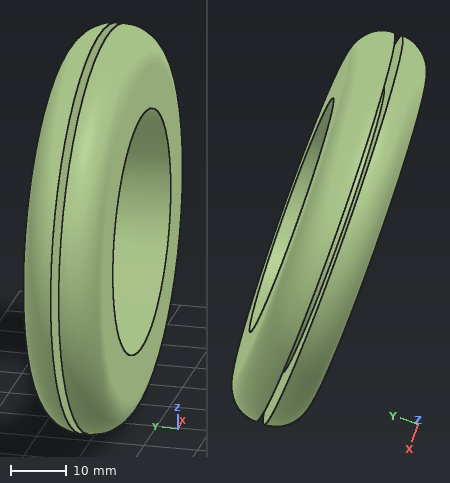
import cadquery as cq
import math

outer_radius = 37.5
bore_radius = 22.5
groove_floor_radius = 27.5
total_width = 14.5
groove_width = 1.5

half_width = total_width / 2
half_groove = groove_width / 2

round_radius = half_width - half_groove
face_radius = outer_radius - round_radius
arc_offset = round_radius * math.sqrt(0.5)
arc_mid_radius = face_radius + arc_offset
arc_mid_y = half_groove + arc_offset

section = (
    cq.Workplane("XY")
    .moveTo(bore_radius, -half_width)
    .lineTo(face_radius, -half_width)
    .threePointArc((arc_mid_radius, -arc_mid_y), (outer_radius, -half_groove))
    .lineTo(groove_floor_radius, -half_groove)
    .lineTo(groove_floor_radius, half_groove)
    .lineTo(outer_radius, half_groove)
    .threePointArc((arc_mid_radius, arc_mid_y), (face_radius, half_width))
    .lineTo(bore_radius, half_width)
    .close()
)

result = section.revolve(360, (0, 0, 0), (0, 1, 0))